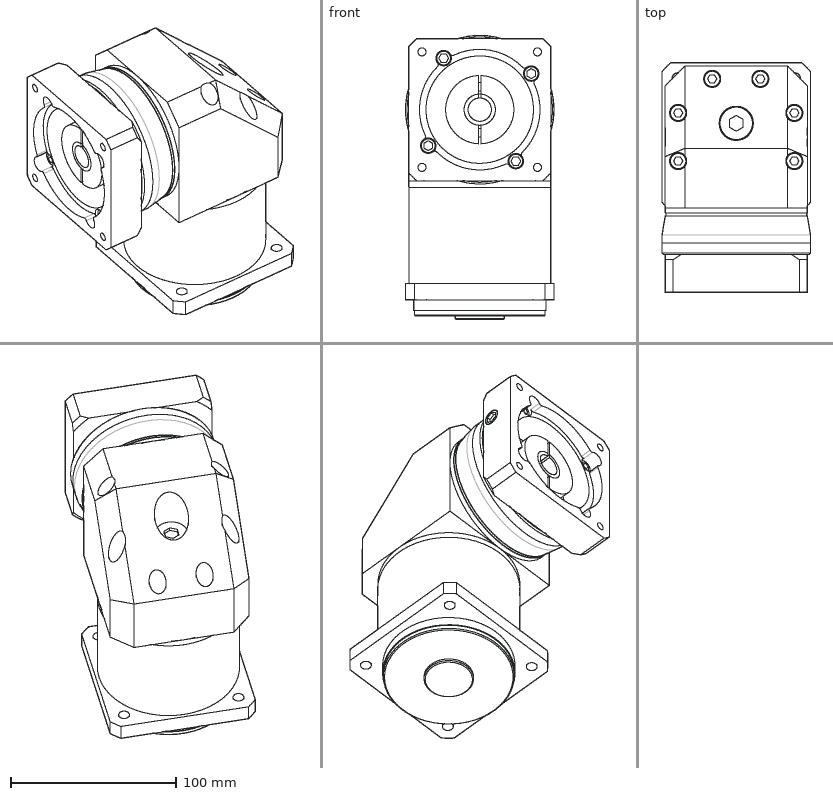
import cadquery as cq
import math


HOUSING_HALF = 43.0
CORNER_CUT = 49.9
SIDE_CHAMFER = 12.0
INPUT_SPIGOT_REACH = 46.1
OUTPUT_SPIGOT_REACH = 47.1

SCREW_CIRCLE_R = 38.0
SCREW_ANGLES = (-22.5, 22.5, 67.5, 112.5, 157.5, 202.5)
HOUSING_BORE_R = 5.2
HOUSING_HEAD_R = 4.6
HOUSING_HEAD_Z = -24.0
HOUSING_HEX = 4.8
PLUG_Y = 8.3
PLUG_Z = 13.8
PLUG_BORE_R = 10.3
PLUG_R = 9.8
PLUG_HEX = 8.3
HEX_DEPTH = 2.0
HEAD_HEIGHT = 3.1

FLANGE_HALF = 44.98
COLLAR_GROOVE_R = 42.7
COLLAR_GROOVE_REACH = 47.6
COLLAR_CONE_REACH = 59.2
COLLAR_REACH = 64.0
PILOT_REACH = 66.2

PLATE_REACH = 94.0
PLATE_STEP_REACH = 71.2
PLATE_STEP_CHAMFER = 1.0
PLATE_CORNER_R = 57.5
PLATE_BACK_CHAMFER = 3.0
MOTOR_BORE_R = 32.5
RECESS_R = 36.5
RECESS_DEPTH = 7.2
PLATE_BORE_R = 4.6
PLATE_HEAD_R = 4.1
PLATE_HEAD_DEPTH = 9.0
PLATE_HEX = 5.2
PLATE_SCREW_ANGLE = 35.0
CUSP_FILLET = 1.7
MOTOR_HOLE_R = 2.4
MOTOR_HOLE_PITCH = 69.8
MOTOR_HOLE_DEPTH = 13.8
DRILL_POINT_ANGLE = 118.0
ACCESS_R = 5.2
ACCESS_PLUG_R = 4.8
ACCESS_HEX = 6.5

CLAMP_R = 20.6
CLAMP_REACH = 84.5
CLAMP_SCREW_REACH = 78.1
CLAMP_WIDTH = 2 * (CLAMP_REACH - CLAMP_SCREW_REACH)
CLAMP_SCREW_Z = 14.0
CLAMP_SCREW_R = 2.5
SLIT_WIDTH = 1.5
SLEEVE_R = 9.5
SLEEVE_BORE_R = 7.0
SLEEVE_BACK_REACH = 56.8

FLANGE_TOP_REACH = 105.1
FLANGE_BOTTOM_REACH = 115.0
FLANGE_CORNER_R = 59.9
FLANGE_HOLE_R = 3.3
FLANGE_HOLE_PITCH = 70.9
BOSS_R = 40.0
BOSS_STEP_R = 39.5
BOSS_STEP_REACH = 121.5
BOSS_REACH = 124.9
BOSS_CHAMFER = 0.7
STUB_R = 15.0
STUB_REACH = 172 - FLANGE_HALF
STUB_CHAMFER = 0.7


def polar(radius, angle):
    """Plane point at a radius and an angle in degrees."""
    return (radius * math.cos(math.radians(angle)), radius * math.sin(math.radians(angle)))


def input_plane(reach):
    """Plane across the input axis, facing the motor side."""
    return cq.Workplane("XZ", origin=(0, -reach, 0))


def output_plane(reach):
    """Plane across the output axis, facing up."""
    return cq.Workplane("XY", origin=(0, 0, -reach))


def input_disc(radius, near, far):
    return input_plane(near).circle(radius).extrude(far - near)


def output_disc(radius, near, far):
    return output_plane(far).circle(radius).extrude(far - near)


def screw_head(face, radius, hex_width, turn=0):
    """Round head below its face, with a hexagon socket; at zero turn a hexagon corner lies on the x axis."""
    corner_diameter = hex_width / math.cos(math.pi / 6)
    centre = face.plane.origin
    socket = face.polygon(6, corner_diameter).extrude(-HEX_DEPTH)
    socket = socket.rotate(centre, centre + face.plane.zDir, turn)
    return face.circle(radius).extrude(-HEAD_HEIGHT).cut(socket)


def screw_bore(face, radius, depth=0):
    """Bore that reaches down past a head's face to the underside of the head."""
    return face.workplane(offset=-HEAD_HEIGHT).circle(radius).extrude(depth + HEAD_HEIGHT)


def make_housing():
    h = HOUSING_HALF
    cut_start = h - CORNER_CUT
    profile = [(-h, -h), (h, -h), (h, cut_start), (cut_start, h), (-h, h)]
    body = cq.Workplane("YZ").polyline(profile).close().extrude(h, both=True)
    for side in ("<X", ">X"):
        rim = body.faces(side).edges("not(<Y or <Z)")
        body = rim.chamfer(SIDE_CHAMFER)
    body = body.union(input_disc(h, h, INPUT_SPIGOT_REACH))
    body = body.union(output_disc(h, h, OUTPUT_SPIGOT_REACH))
    for angle in SCREW_ANGLES:
        x, y = polar(SCREW_CIRCLE_R, angle)
        head = cq.Workplane("XY", origin=(x, y, HOUSING_HEAD_Z))
        body = body.cut(screw_bore(head, HOUSING_BORE_R, 2 * h))
        body = body.union(screw_head(head, HOUSING_HEAD_R, HOUSING_HEX))
    plug = cq.Workplane("XY", origin=(0, PLUG_Y, PLUG_Z))
    body = body.cut(screw_bore(plug, PLUG_BORE_R, h))
    return body.union(screw_head(plug, PLUG_R, PLUG_HEX, turn=30))


def make_collar():
    h = HOUSING_HALF
    profile = [
        (0, -INPUT_SPIGOT_REACH),
        (COLLAR_GROOVE_R, -INPUT_SPIGOT_REACH),
        (COLLAR_GROOVE_R, -COLLAR_GROOVE_REACH),
        (h, -COLLAR_GROOVE_REACH),
        (FLANGE_HALF, -COLLAR_CONE_REACH),
        (FLANGE_HALF, -COLLAR_REACH),
        (0, -COLLAR_REACH),
    ]
    body = cq.Workplane("XY").polyline(profile).close().revolve(360, (0, 0, 0), (0, 1, 0))
    body = body.union(input_disc(MOTOR_BORE_R, COLLAR_REACH, PILOT_REACH))
    return body.cut(input_disc(SLEEVE_R, SLEEVE_BACK_REACH, PILOT_REACH))


def recess_cutter():
    """Round recess joined to the four screw bores, with the cusps between them rounded."""
    bore_depth = PLATE_HEAD_DEPTH + HEAD_HEIGHT
    bores = input_plane(PLATE_REACH - bore_depth).polarArray(SCREW_CIRCLE_R, PLATE_SCREW_ANGLE, 360, 4).circle(PLATE_BORE_R)
    recess = input_disc(RECESS_R, PLATE_REACH - RECESS_DEPTH, PLATE_REACH)
    cutter = recess.union(bores.extrude(bore_depth))

    def is_cusp(edge):
        at = edge.Center()
        on_recess = abs(math.hypot(at.x, at.z) - RECESS_R) < 0.02
        return on_recess and abs(at.z) > 1.7

    return cutter.edges("|Y").filter(is_cusp).fillet(CUSP_FILLET)


def motor_hole_cutter():
    """Four blind holes with drill points for the motor screws."""
    point_depth = MOTOR_HOLE_R / math.tan(math.radians(DRILL_POINT_ANGLE / 2))
    profile = [(0, 0), (MOTOR_HOLE_R, 0), (MOTOR_HOLE_R, MOTOR_HOLE_DEPTH), (0, MOTOR_HOLE_DEPTH + point_depth)]
    drill = cq.Workplane("XY").polyline(profile).close().revolve(360, (0, 0, 0), (0, 1, 0)).val()
    corners = input_plane(PLATE_REACH).rect(MOTOR_HOLE_PITCH, MOTOR_HOLE_PITCH, forConstruction=True).vertices()
    cutters = cq.Workplane("XY")
    for corner in corners.vals():
        cutters = cutters.union(cq.Workplane(drill.translate(corner.Center())))
    return cutters


def make_motor_plate():
    side = 2 * HOUSING_HALF
    square = input_plane(PLATE_STEP_REACH).rect(side, side).extrude(PLATE_REACH - PLATE_STEP_REACH)
    envelope = input_disc(PLATE_CORNER_R, PLATE_STEP_REACH, PLATE_REACH)
    square = square.intersect(envelope.faces(">Y").chamfer(PLATE_BACK_CHAMFER))
    back = input_disc(FLANGE_HALF, COLLAR_REACH, PLATE_STEP_REACH).faces("<Y").chamfer(PLATE_STEP_CHAMFER)
    body = square.union(back)
    body = body.cut(input_disc(MOTOR_BORE_R, COLLAR_REACH, PLATE_REACH))
    body = body.cut(recess_cutter()).cut(motor_hole_cutter())
    for quarter in range(4):
        angle = PLATE_SCREW_ANGLE + 90 * quarter
        x, z = polar(SCREW_CIRCLE_R, angle)
        head = cq.Workplane("XZ", origin=(x, PLATE_HEAD_DEPTH - PLATE_REACH, z))
        turn = 90 * (quarter + 1)
        body = body.union(screw_head(head, PLATE_HEAD_R, PLATE_HEX, turn))
    access = cq.Workplane("YZ", origin=(-HOUSING_HALF, -CLAMP_SCREW_REACH, CLAMP_SCREW_Z)).transformed((0, 180, 0))
    body = body.cut(screw_bore(access, ACCESS_R))
    return body.union(screw_head(access, ACCESS_PLUG_R, ACCESS_HEX, turn=30))


def make_clamp_ring():
    """Ring slit above and below the sleeve, with a clamp screw across each slit."""
    face = input_plane(CLAMP_REACH - CLAMP_WIDTH)
    ring = face.circle(CLAMP_R).circle(SLEEVE_R).extrude(CLAMP_WIDTH)
    ring = ring.cut(face.rect(SLIT_WIDTH, 2 * CLAMP_R).extrude(CLAMP_WIDTH))
    for z in (-CLAMP_SCREW_Z, CLAMP_SCREW_Z):
        middle = cq.Workplane("YZ", origin=(0, -CLAMP_SCREW_REACH, z))
        ring = ring.union(middle.circle(CLAMP_SCREW_R).extrude(SLIT_WIDTH, both=True))
    return ring


def make_input_sleeve():
    """Hollow input shaft, slit on top under the clamp ring."""
    length = CLAMP_REACH - SLEEVE_BACK_REACH
    sleeve = input_plane(SLEEVE_BACK_REACH).circle(SLEEVE_R).circle(SLEEVE_BORE_R).extrude(length)
    slit = input_plane(CLAMP_REACH - CLAMP_WIDTH).center(0, SLEEVE_R / 2).rect(SLIT_WIDTH, SLEEVE_R)
    return sleeve.cut(slit.extrude(CLAMP_WIDTH))


def make_output_housing():
    side = 2 * FLANGE_HALF
    thickness = FLANGE_BOTTOM_REACH - FLANGE_TOP_REACH
    flange = output_plane(FLANGE_BOTTOM_REACH).rect(side, side).extrude(thickness)
    flange = flange.intersect(output_disc(FLANGE_CORNER_R, FLANGE_TOP_REACH, FLANGE_BOTTOM_REACH))
    holes = output_plane(FLANGE_BOTTOM_REACH).rect(FLANGE_HOLE_PITCH, FLANGE_HOLE_PITCH, forConstruction=True)
    flange = flange.cut(holes.vertices().circle(FLANGE_HOLE_R).extrude(thickness))
    barrel = output_disc(HOUSING_HALF, OUTPUT_SPIGOT_REACH, FLANGE_TOP_REACH)
    boss = output_disc(BOSS_R, FLANGE_BOTTOM_REACH, BOSS_STEP_REACH)
    step = output_disc(BOSS_STEP_R, BOSS_STEP_REACH, BOSS_REACH).faces("<Z").chamfer(BOSS_CHAMFER)
    stub = output_disc(STUB_R, BOSS_REACH, STUB_REACH).faces("<Z").chamfer(STUB_CHAMFER)
    return barrel.union(flange).union(boss).union(step).union(stub)


housing = make_housing()
collar = make_collar()
motor_plate = make_motor_plate()
clamp_ring = make_clamp_ring()
input_sleeve = make_input_sleeve()
output_housing = make_output_housing()

result = cq.Compound.makeCompound([
    housing.val(),
    collar.val(),
    motor_plate.val(),
    clamp_ring.val(),
    input_sleeve.val(),
    output_housing.val(),
])